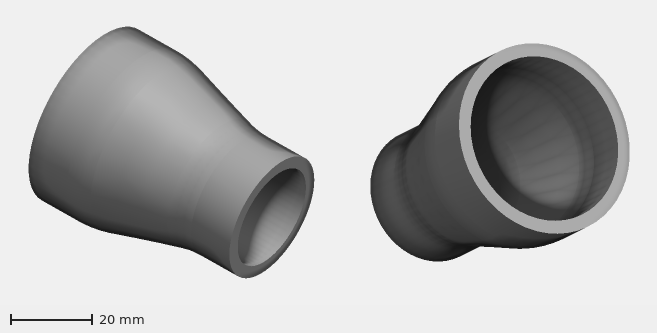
import cadquery as cq
import math

length = 57.2
large_outer_radius = 48.26 / 2
small_outer_radius = 33.4 / 2
wall = 3.3
collar_length = 12.0
bend_radius = 25.0

run = length - 2 * collar_length
drop = large_outer_radius - small_outer_radius
centre_drop = 2 * bend_radius - drop
cone_angle = math.asin(2 * bend_radius / math.hypot(run, centre_drop)) - math.atan2(centre_drop, run)


def bend_points(x_start, start_radius, bend, x_direction, radial_direction):
    """Middle and end of a bend that leaves a collar and turns into the cone."""
    return [
        (
            x_start + x_direction * bend * math.sin(angle),
            start_radius + radial_direction * bend * (1 - math.cos(angle)),
        )
        for angle in (cone_angle / 2, cone_angle)
    ]


def reducer_solid(large_radius, small_radius, large_bend, small_bend):
    """Solid of revolution about X: collar, bend, cone, opposite bend, collar."""
    x_start = -length / 2
    x_end = length / 2
    x_large = x_start + collar_length
    x_small = x_end - collar_length
    large_mid, large_end = bend_points(x_large, large_radius, large_bend, 1, -1)
    small_mid, small_end = bend_points(x_small, small_radius, small_bend, -1, 1)
    profile = (
        cq.Workplane("XY")
        .moveTo(x_start, 0)
        .lineTo(x_start, large_radius)
        .lineTo(x_large, large_radius)
        .threePointArc(large_mid, large_end)
        .lineTo(*small_end)
        .threePointArc(small_mid, (x_small, small_radius))
        .lineTo(x_end, small_radius)
        .lineTo(x_end, 0)
        .close()
    )
    return profile.revolve(360, (0, 0, 0), (1, 0, 0))


outside = reducer_solid(large_outer_radius, small_outer_radius, bend_radius, bend_radius)
bore = reducer_solid(
    large_outer_radius - wall,
    small_outer_radius - wall,
    bend_radius - wall,
    bend_radius + wall,
)
result = outside.cut(bore)